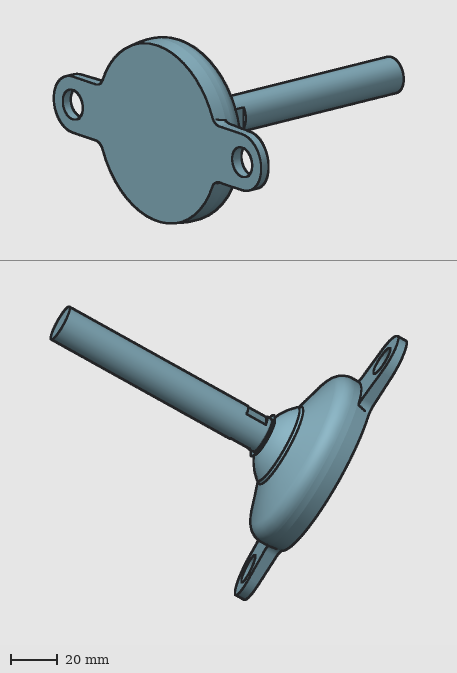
import cadquery as cq
import math


floor_radius = 39.2
rim_radius = 40.0
rim_start = 6.3
rim_end = 9.2
shoulder_radius = 7.2
cone_angle = math.radians(20)
collar_radius = 18.8
seat_radius = 18.0
seat_height = 23.4

overall_length = 136
ear_radius = 12.5
ear_hole_diameter = 13.0
ear_root_height = 6.5
ear_root_x = 27.2
ear_tip_height = 4.2
ear_fillet = 5.0
ear_tip_x = overall_length / 2
ear_center_x = ear_tip_x - ear_radius

dome_radius = 23.4
lip_height = 30.0
lip_top = 31.0
lip_radius = 10.0
taper_start = 31.8
stem_radius = 8.0
stem_foot_radius = 7.9
stem_end = 131.5
flat_start = 33.3
flat_end = 42.8
flat_offset = 6.5


def revolve_about_y(profile):
    """Turn a radius-height profile into a solid around Y, with its seam at +Z, clear of the ears."""
    axis_start = (0, 0, 0)
    axis_end = (0, 1, 0)
    return profile.close().revolve(360, axis_start, axis_end).rotate(axis_start, axis_end, -90)


def make_disc():
    """Disc with a flared foot, rounded shoulder, shallow cone and chamfered seat."""
    shoulder_x = rim_radius - shoulder_radius
    mid_angle = (math.pi / 2 - cone_angle) / 2
    end_angle = math.pi / 2 - cone_angle
    shoulder_mid = (
        shoulder_x + shoulder_radius * math.cos(mid_angle),
        rim_end + shoulder_radius * math.sin(mid_angle),
    )
    shoulder_end = (
        shoulder_x + shoulder_radius * math.cos(end_angle),
        rim_end + shoulder_radius * math.sin(end_angle),
    )
    collar_height = shoulder_end[1] + (shoulder_end[0] - collar_radius) * math.tan(cone_angle)
    profile = (
        cq.Workplane("XY")
        .lineTo(floor_radius, 0)
        .lineTo(rim_radius, rim_start)
        .lineTo(rim_radius, rim_end)
        .threePointArc(shoulder_mid, shoulder_end)
        .lineTo(collar_radius, collar_height)
        .lineTo(seat_radius, seat_height)
        .lineTo(0, seat_height)
    )
    return revolve_about_y(profile)


def make_ear_web(side):
    """Web whose concave corners, tangent to ear and floor circle, blend one ear into the disc."""
    arc_center_z = ear_radius + ear_fillet
    arc_center_distance = floor_radius + ear_fillet
    arc_center_x = math.sqrt(arc_center_distance**2 - arc_center_z**2)
    disc_point_x = side * arc_center_x * floor_radius / arc_center_distance
    disc_point_z = arc_center_z * floor_radius / arc_center_distance
    disc_angle = math.atan2(arc_center_z, arc_center_x)
    mid_angle = (disc_angle + math.pi / 2) / 2
    mid_x = side * (arc_center_x - ear_fillet * math.cos(mid_angle))
    mid_z = arc_center_z - ear_fillet * math.sin(mid_angle)
    ear_point_x = side * arc_center_x
    return (
        cq.Workplane("XZ")
        .moveTo(ear_point_x, ear_radius)
        .threePointArc((mid_x, mid_z), (disc_point_x, disc_point_z))
        .lineTo(disc_point_x, -disc_point_z)
        .threePointArc((mid_x, -mid_z), (ear_point_x, -ear_radius))
        .close()
        .extrude(-ear_root_height)
    )


def make_ears():
    """Round-ended bar with blended roots whose two ears thin towards their tips."""
    outline = (
        cq.Workplane("XZ")
        .slot2D(overall_length, 2 * ear_radius)
        .extrude(-ear_root_height)
    )
    for side in (-1, 1):
        outline = outline.union(make_ear_web(side))
    side_shape = (
        cq.Workplane("XY")
        .polyline([
            (-ear_tip_x, 0),
            (ear_tip_x, 0),
            (ear_tip_x, ear_tip_height),
            (ear_root_x, ear_root_height),
            (-ear_root_x, ear_root_height),
            (-ear_tip_x, ear_tip_height),
        ])
        .close()
        .extrude(ear_radius + ear_fillet, both=True)
    )
    return outline.intersect(side_shape)


def make_base():
    """Disc and ears in one piece, with a hole in each ear."""
    base = make_disc().union(make_ears())
    holes = (
        cq.Workplane("XZ")
        .pushPoints([(-ear_center_x, 0), (ear_center_x, 0)])
        .circle(ear_hole_diameter / 2)
        .extrude(-ear_root_height)
    )
    return base.cut(holes)


def make_stem():
    """Rod rising from a flared lip on a spherical dome, with two wrench flats."""
    dome_center = seat_height - math.sqrt(dome_radius**2 - seat_radius**2)

    def dome_point(height):
        return (math.sqrt(dome_radius**2 - (height - dome_center)**2), height)

    profile = (
        cq.Workplane("XY")
        .moveTo(0, seat_height)
        .lineTo(seat_radius, seat_height)
        .threePointArc(dome_point((seat_height + lip_height) / 2), dome_point(lip_height))
        .lineTo(lip_radius, lip_top)
        .lineTo(stem_foot_radius, lip_top)
        .lineTo(stem_radius, taper_start)
        .lineTo(stem_radius, stem_end)
        .lineTo(0, stem_end)
    )
    stem = revolve_about_y(profile)
    flat_depth = stem_radius - flat_offset
    flat_length = flat_end - flat_start
    for side in (-1, 1):
        cutter = cq.Workplane("XY").box(flat_depth, flat_length, 2 * stem_radius).translate(
            (side * (flat_offset + flat_depth / 2), (flat_start + flat_end) / 2, 0)
        )
        stem = stem.cut(cutter)
    return stem


base = make_base()
stem = make_stem()

result = cq.Compound.makeCompound([base.val(), stem.val()])